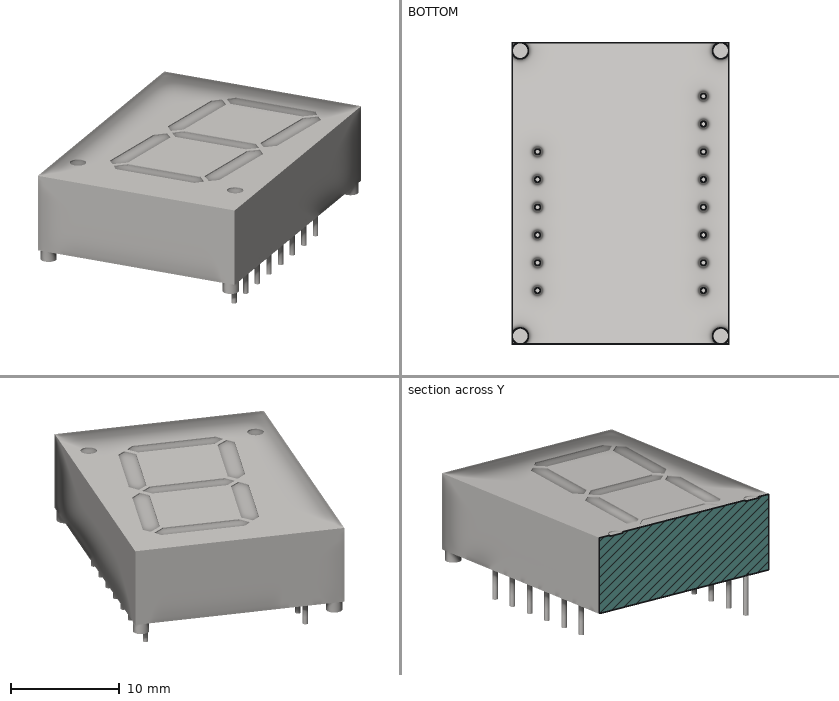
import cadquery as cq
import math

body_width = 19.9
body_length = 27.7
body_height = 7.4

standoff_diameter = 1.5
standoff_height = 1.0

pin_diameter = 0.5
pin_length = 4.0
pin_pitch = 2.55
row_spacing = 15.23
pins_per_row = 8
left_row_pins = 6

recess_depth = 0.1
dot_diameter = 1.5
dot_spacing = 15.9
dot_y = -9.4

digit_x = 1.25
digit_y = 0.78
slant = math.tan(math.radians(8))

bar_outer_y = 10.13
bar_tip_y = 9.47
bar_inner_y = 8.55
bar_outer_x = 4.0
bar_tip_x = 4.57
bar_inner_x = 3.63

middle_half_height = 0.8
middle_flat_x = 3.57
middle_tip_x = 4.4

side_inner_x = 3.88
side_outer_x = 5.55
side_near_tip = (4.7, 0.33)
side_far_tip = (4.87, 9.17)
side_inner_near_y = 1.1
side_outer_near_y = 1.2
side_inner_far_y = 8.25
side_outer_far_y = 8.53

top_bar = [
    (-bar_tip_x, bar_tip_y),
    (-bar_outer_x, bar_outer_y),
    (bar_outer_x, bar_outer_y),
    (bar_tip_x, bar_tip_y),
    (bar_inner_x, bar_inner_y),
    (-bar_inner_x, bar_inner_y),
]
middle_bar = [
    (-middle_tip_x, 0),
    (-middle_flat_x, middle_half_height),
    (middle_flat_x, middle_half_height),
    (middle_tip_x, 0),
    (middle_flat_x, -middle_half_height),
    (-middle_flat_x, -middle_half_height),
]
upper_side = [
    side_near_tip,
    (side_outer_x, side_outer_near_y),
    (side_outer_x, side_outer_far_y),
    side_far_tip,
    (side_inner_x, side_inner_far_y),
    (side_inner_x, side_inner_near_y),
]


def mirrored(outline, sign_x, sign_y):
    """Flip an upright outline about the digit centre lines."""
    return [(sign_x * x, sign_y * y) for x, y in outline]


def slanted(outline):
    """Lean an upright outline and move it to the digit's place."""
    return [(digit_x + x + slant * y, digit_y + y) for x, y in outline]


def bottom_cylinders(points, diameter, length):
    """Round posts hanging down from the underside."""
    return cq.Workplane("XY").pushPoints(points).circle(diameter / 2).extrude(-length)


def pin_row(x, count):
    """Lead centres of one row, counted from the +Y end."""
    first_y = pin_pitch * (pins_per_row - 1) / 2
    return [(x, first_y - i * pin_pitch) for i in range(count)]


result = cq.Workplane("XY").box(body_width, body_length, body_height, centered=(True, True, False))

standoff_x = (body_width - standoff_diameter) / 2
standoff_y = (body_length - standoff_diameter) / 2
standoff_points = [(sx * standoff_x, sy * standoff_y) for sx in (-1, 1) for sy in (-1, 1)]
result = result.union(bottom_cylinders(standoff_points, standoff_diameter, standoff_height))

pin_points = pin_row(-row_spacing / 2, left_row_pins) + pin_row(row_spacing / 2, pins_per_row)
result = result.union(bottom_cylinders(pin_points, pin_diameter, pin_length))

segments = [top_bar, mirrored(top_bar, 1, -1), middle_bar]
segments += [mirrored(upper_side, sx, sy) for sx in (-1, 1) for sy in (-1, 1)]
top_face = cq.Workplane("XY").workplane(offset=body_height)
for segment in segments:
    result = result.cut(top_face.polyline(slanted(segment)).close().extrude(-recess_depth))

dot_points = [(-dot_spacing / 2, dot_y), (dot_spacing / 2, dot_y)]
result = result.cut(top_face.pushPoints(dot_points).circle(dot_diameter / 2).extrude(-recess_depth))